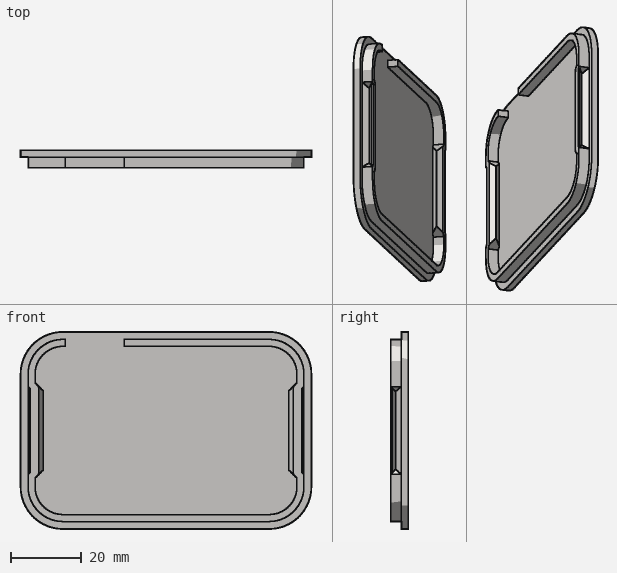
import cadquery as cq

length = 82.2
height = 55.7
total_depth = 5.0
plate_thickness = 2.0
corner_radius = 12.0

rim_inset = 2.1
rim_width = 2.0
rim_depth = total_depth - plate_thickness

gap_left = -28.4
gap_right = -11.8

groove_depth = 1.5
ridge_drop = 1.65
groove_half_height = 12.4
lip_inset = 0.65
lip_undercut = 0.25
lip_height = 0.4
bulge_rise = 2.4
bulge_half_height = 13.5
ridge_width = 0.2

plate_front = total_depth / 2 - plate_thickness
rim_front = -total_depth / 2
apex_y = plate_front - ridge_drop
rim_x = length / 2 - rim_inset
inner_x = rim_x - rim_width


def rounded_block(inset, back_y, depth):
    """Rounded rectangle, inset from the plate outline, extruded towards -Y."""
    return (
        cq.Workplane("XZ", origin=(0, back_y, 0))
        .rect(length - 2 * inset, height - 2 * inset)
        .extrude(depth)
        .edges("|Y")
        .fillet(corner_radius - inset)
    )


def snap_wedge(profile, face_x, rise, half_height):
    """XY profile along Z, with both ends cut at 45 degrees towards -X."""
    half_top = half_height - rise
    ends = (
        cq.Workplane("XZ", origin=(0, plate_front, 0))
        .polyline([
            (face_x, -half_height),
            (face_x, half_height),
            (face_x - rise, half_top),
            (face_x - rise, -half_top),
        ])
        .close()
        .extrude(rim_depth)
    )
    strip = (
        cq.Workplane("XY", origin=(0, 0, -half_height))
        .polyline(profile)
        .close()
        .extrude(2 * half_height)
    )
    return strip.intersect(ends)


ridge_x = inner_x - bulge_rise
ridge_back_y = apex_y + ridge_width
bulge_profile = [
    (inner_x, plate_front),
    (ridge_x + plate_front - ridge_back_y, plate_front),
    (ridge_x, ridge_back_y),
    (ridge_x, apex_y),
    (ridge_x + apex_y - rim_front, rim_front),
    (inner_x, rim_front),
]
bulge = snap_wedge(bulge_profile, inner_x, bulge_rise, bulge_half_height)

lip_x = rim_x - lip_inset
groove_profile = [
    (rim_x, plate_front),
    (rim_x - groove_depth, apex_y),
    (lip_x + lip_undercut, rim_front + lip_height),
    (lip_x, rim_front),
    (rim_x, rim_front),
]
groove = snap_wedge(groove_profile, rim_x, groove_depth, groove_half_height)

rim = rounded_block(rim_inset, plate_front, rim_depth).cut(
    rounded_block(rim_inset + rim_width, plate_front, rim_depth)
)
gap = cq.Workplane("XY").box(
    gap_right - gap_left, rim_depth, rim_width, centered=False
).translate((gap_left, rim_front, height / 2 - rim_inset - rim_width))
rim = rim.cut(gap)

for snap_bulge, snap_groove in (
    (bulge, groove),
    (bulge.mirror("YZ"), groove.mirror("YZ")),
):
    rim = rim.union(snap_bulge).cut(snap_groove)

plate = rounded_block(0, total_depth / 2, plate_thickness)
result = plate.union(rim)